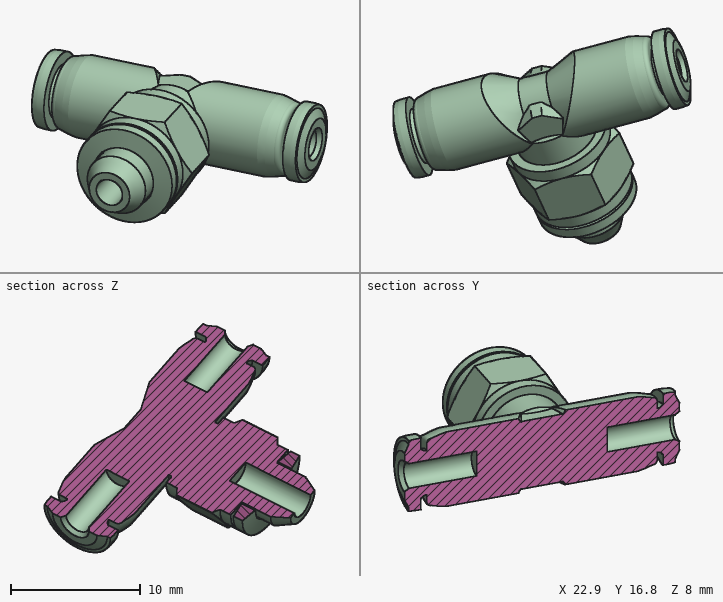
import cadquery as cq
import math


ARM_RADIUS = 3.25
ARM_TAPER_START = 7.95
ARM_TAPER_BREAK = 8.53
ARM_TAPER_BREAK_RADIUS = 3.13
ARM_TAPER_END = 9.22
ARM_TAPER_RADIUS = 2.93
ARM_NOSE_X = 9.6
ARM_NOSE_ROUND = ARM_NOSE_X - ARM_TAPER_END

BUTTON_END_X = 11.45
BUTTON_CONE_LENGTH = 0.35
BUTTON_LIP_LENGTH = 0.43
BUTTON_BACK_X = 10.05
BUTTON_RADIUS = 3.12
BUTTON_LIP_RADIUS = 3.07
BUTTON_CONE_RADIUS = 2.78
BUTTON_FACE_RADIUS = 2.05
NECK_ROOT_RADIUS = 2.17
NECK_RADIUS = 1.93
NECK_SAG = 0.07

TUBE_BORE_RADIUS = 1.05
TUBE_MOUTH_RADIUS = 1.3
TUBE_MOUTH_DEPTH = 0.38
TUBE_BORE_DEPTH = 6.0

WAIST_RADIUS = 2.27
WAIST_END_X = 1.15
WAIST_FLOOR_Y = -1.16
SHOULDER_X = 3.82
SHOULDER_TILT = 30.0

PAD_HEIGHT = 2.95
PAD_ROOT_HEIGHT = 1.5
PAD_TAPER = 14.0
PAD_SIDE_X = 1.83
PAD_SIDE_Y = 0.35
PAD_FOOT_X = 1.3
PAD_PEAK_X = 0.4
PAD_PEAK_Y = 1.2

STEM_RADIUS = ARM_RADIUS
STEM_CHAMFER_LENGTH = 0.19
STEM_CHAMFER_DEPTH = STEM_RADIUS - PAD_HEIGHT
FLANGE_RADIUS = 4.0
FLANGE_START = 3.5
FLANGE_END = 9.5
HEX_ACROSS_FLATS = 8.0
HEX_LENGTH = 4.0
HEX_START = (FLANGE_START + FLANGE_END - HEX_LENGTH) / 2
HEX_CHAMFER_ANGLE = 30.0

STUD_RADIUS = 2.45
STUD_TIP_RADIUS = 1.7
STUD_TAPER_START = 12.15
STUD_END = 13.5
STUD_BORE_RADIUS = 1.1
STUD_BORE_DEPTH = 6.0

GASKET_RADIUS = 4.0
GASKET_BORE_RADIUS = 2.52
GASKET_LENGTH = 1.3
GASKET_RIM_LENGTH = 0.85

MIRROR_SIDES = (-1, 1)


def along_branch(start, length, radius):
    """Cylinder on the branch axis, from a distance `start` towards -Y."""
    return cq.Workplane("XZ", origin=(0, -start, 0)).circle(radius).extrude(length)


def revolve_about_y(points):
    """Turn (radius, distance towards -Y) points about the branch axis."""
    outline = [(radius, -distance) for radius, distance in points]
    return cq.Workplane("XY").polyline(outline).close().revolve(360, (0, 0), (0, 1))


def make_arm():
    """One solid arm towards +X, with its release button and neck."""
    round_mid = ARM_NOSE_ROUND * math.sqrt(0.5)
    nose_radius = ARM_TAPER_RADIUS - ARM_NOSE_ROUND
    lip_x = BUTTON_END_X - BUTTON_CONE_LENGTH
    neck_mid = ((ARM_NOSE_X + BUTTON_BACK_X) / 2, (NECK_RADIUS + NECK_ROOT_RADIUS) / 2 - NECK_SAG)
    return (
        cq.Workplane("XY")
        .lineTo(0, ARM_RADIUS)
        .lineTo(ARM_TAPER_START, ARM_RADIUS)
        .lineTo(ARM_TAPER_BREAK, ARM_TAPER_BREAK_RADIUS)
        .lineTo(ARM_TAPER_END, ARM_TAPER_RADIUS)
        .threePointArc((ARM_TAPER_END + round_mid, nose_radius + round_mid), (ARM_NOSE_X, nose_radius))
        .lineTo(ARM_NOSE_X, NECK_RADIUS)
        .threePointArc(neck_mid, (BUTTON_BACK_X, NECK_ROOT_RADIUS))
        .lineTo(BUTTON_BACK_X, BUTTON_RADIUS)
        .lineTo(lip_x - BUTTON_LIP_LENGTH, BUTTON_RADIUS)
        .lineTo(lip_x, BUTTON_LIP_RADIUS)
        .lineTo(lip_x, BUTTON_CONE_RADIUS)
        .lineTo(BUTTON_END_X, BUTTON_FACE_RADIUS)
        .lineTo(BUTTON_END_X, 0)
        .close()
        .revolve(360, (0, 0), (1, 0))
    )


def make_tube_bore():
    """Blind bore of the +X arm with its conical mouth."""
    mouth_floor = BUTTON_END_X - TUBE_MOUTH_DEPTH
    bore_floor = BUTTON_END_X - TUBE_BORE_DEPTH
    outline = [
        (bore_floor, 0),
        (bore_floor, TUBE_BORE_RADIUS),
        (mouth_floor, TUBE_BORE_RADIUS),
        (BUTTON_END_X, TUBE_MOUTH_RADIUS),
        (BUTTON_END_X, 0),
    ]
    return cq.Workplane("XY").polyline(outline).close().revolve(360, (0, 0), (1, 0))


def capped_ellipse(plane, half_width, half_height):
    """Ellipse section on `plane`, cut off along the waist floor."""
    local_floor = WAIST_FLOOR_Y / plane.xDir.y
    angle = math.degrees(math.acos(local_floor / half_width))
    return (
        cq.Workplane(plane)
        .ellipseArc(half_width, half_height, -angle, angle, startAtCurrent=False)
        .close()
        .val()
    )


def make_shoulder():
    """Ruled shoulder from the slanted end of the +X arm down to the waist."""
    tilt = math.radians(SHOULDER_TILT)
    axis_x = SHOULDER_X - ARM_RADIUS * math.tan(tilt)
    slanted = cq.Plane(
        origin=(axis_x, 0, 0),
        xDir=(math.sin(tilt), math.cos(tilt), 0),
        normal=(math.cos(tilt), -math.sin(tilt), 0),
    )
    upright = cq.Plane(origin=(WAIST_END_X, 0, 0), xDir=(0, 1, 0), normal=(1, 0, 0))
    sections = [
        capped_ellipse(slanted, ARM_RADIUS / math.cos(tilt), ARM_RADIUS),
        capped_ellipse(upright, WAIST_RADIUS, WAIST_RADIUS),
    ]
    return cq.Workplane(cq.Solid.makeLoft(sections, True))


def make_waist_gap():
    """Wedge between the slanted arm ends, above the waist floor."""
    slope = math.tan(math.radians(SHOULDER_TILT))
    axis_x = SHOULDER_X - ARM_RADIUS * slope
    top_y = 2 * ARM_RADIUS
    top_x = axis_x + top_y * slope
    floor_x = axis_x + WAIST_FLOOR_Y * slope
    outline = [
        (-floor_x, WAIST_FLOOR_Y),
        (floor_x, WAIST_FLOOR_Y),
        (top_x, top_y),
        (-top_x, top_y),
    ]
    return cq.Workplane("XY").polyline(outline).close().extrude(2 * ARM_RADIUS, both=True)


def make_pad(side):
    """Flat-topped pad above (side 1) or below (side -1) the waist, with sloped walls."""
    outline = [
        (-PAD_FOOT_X, WAIST_FLOOR_Y),
        (PAD_FOOT_X, WAIST_FLOOR_Y),
        (PAD_SIDE_X, PAD_SIDE_Y),
        (PAD_PEAK_X, PAD_PEAK_Y),
        (-PAD_PEAK_X, PAD_PEAK_Y),
        (-PAD_SIDE_X, PAD_SIDE_Y),
    ]
    pad = (
        cq.Workplane("XY", origin=(0, 0, PAD_HEIGHT))
        .polyline(outline)
        .close()
        .extrude(PAD_ROOT_HEIGHT - PAD_HEIGHT, taper=-PAD_TAPER)
    )
    return pad if side > 0 else pad.mirror("XY")


def make_stem():
    """Branch stem with a bevelled inner end standing at the waist floor."""
    inner_end = -WAIST_FLOOR_Y
    return revolve_about_y([
        (0, inner_end - STEM_CHAMFER_LENGTH),
        (STEM_RADIUS - STEM_CHAMFER_DEPTH, inner_end - STEM_CHAMFER_LENGTH),
        (STEM_RADIUS, inner_end),
        (STEM_RADIUS, FLANGE_START),
        (0, FLANGE_START),
    ])


def make_hexagon():
    """Hexagon with its corners bevelled at both ends down to the flange."""
    corner_radius = HEX_ACROSS_FLATS / math.sqrt(3)
    bevel = (corner_radius - FLANGE_RADIUS) * math.tan(math.radians(HEX_CHAMFER_ANGLE))
    hex_end = HEX_START + HEX_LENGTH
    prism = (
        cq.Workplane("XZ", origin=(0, -HEX_START, 0))
        .polygon(6, 2 * corner_radius)
        .extrude(HEX_LENGTH)
    )
    envelope = revolve_about_y([
        (0, HEX_START),
        (FLANGE_RADIUS, HEX_START),
        (corner_radius, HEX_START + bevel),
        (corner_radius, hex_end - bevel),
        (FLANGE_RADIUS, hex_end),
        (0, hex_end),
    ])
    return prism.intersect(envelope)


def make_stud():
    """Stud below the flange, tapering to its tip."""
    return revolve_about_y([
        (0, FLANGE_END),
        (STUD_RADIUS, FLANGE_END),
        (STUD_RADIUS, STUD_TAPER_START),
        (STUD_TIP_RADIUS, STUD_END),
        (0, STUD_END),
    ])


def make_fitting():
    """Complete tee: arms, waist, pads, stem, hexagon and stud in one solid."""
    arm = make_arm()
    fitting = arm.union(arm.mirror("YZ")).cut(make_waist_gap())

    waist = cq.Workplane("YZ").circle(WAIST_RADIUS).extrude(WAIST_END_X, both=True)
    shoulder = make_shoulder()
    fitting = fitting.union(waist).union(shoulder).union(shoulder.mirror("YZ"))
    for side in MIRROR_SIDES:
        fitting = fitting.union(make_pad(side))

    flange = along_branch(FLANGE_START, FLANGE_END - FLANGE_START, FLANGE_RADIUS)
    for section in (make_stem(), flange, make_hexagon(), make_stud()):
        fitting = fitting.union(section)

    bore = make_tube_bore()
    stud_bore = along_branch(STUD_END - STUD_BORE_DEPTH, STUD_BORE_DEPTH, STUD_BORE_RADIUS)
    return fitting.cut(bore).cut(bore.mirror("YZ")).cut(stud_bore)


def make_gasket():
    """Ring with a short cylindrical rim and a shallow cone on each face."""
    gasket_end = FLANGE_END + GASKET_LENGTH
    cone_length = (GASKET_LENGTH - GASKET_RIM_LENGTH) / 2
    return revolve_about_y([
        (GASKET_BORE_RADIUS, FLANGE_END),
        (GASKET_RADIUS, FLANGE_END + cone_length),
        (GASKET_RADIUS, gasket_end - cone_length),
        (GASKET_BORE_RADIUS, gasket_end),
    ])


fitting = make_fitting()
gasket = make_gasket()

result = cq.Compound.makeCompound([fitting.val(), gasket.val()])